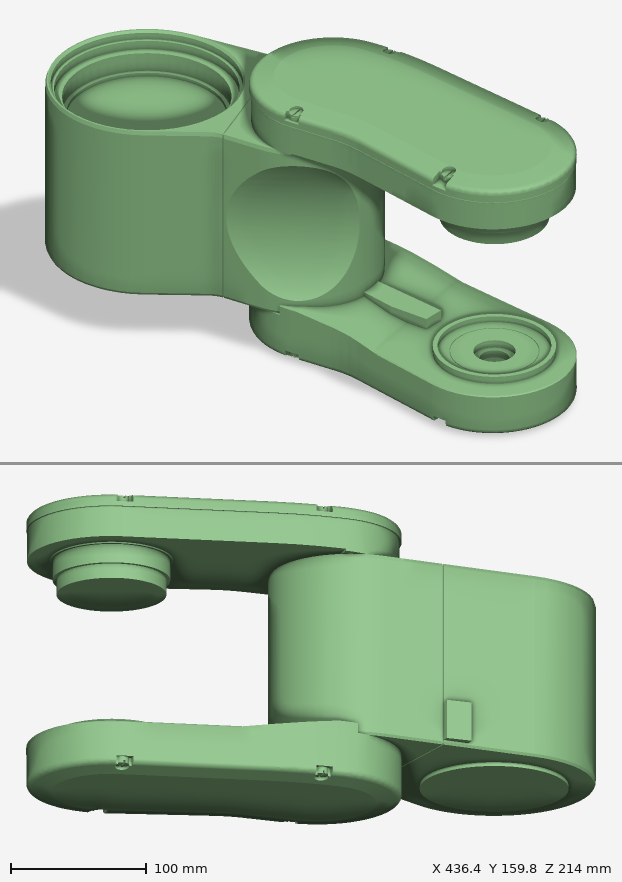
import cadquery as cq
import math

TOTAL_LENGTH = 436.44
BODY_HEIGHT = 140.0
MID_Z = BODY_HEIGHT / 2

SHOULDER_R = 75.0
BASE_DISC_R = 55.0
BASE_DISC_H = 3.0
SHOULDER_BORES = [(71.0, 7.0), (68.5, 14.0), (62.5, 29.0), (59.5, 32.0)]
BORE_CHAMFER = 1.6

WALL_SCREW_Y = -13.3
WALL_SCREW_Z = 49.0
WALL_SCREW_POCKET_R = 6.2
WALL_SCREW_HEAD_R = 4.5
WALL_SCREW_DEPTH = 3.0
WALL_SCREW_HEAD_H = 1.5
WALL_SCREW_SLOT = 2.2

HUB_X = 120.1
HUB_Y = 22.0
HUB_R = 61.2
ELBOW_X = 83.5
ELBOW_R = 24.0
EDGE_BEVEL_WIDTH = 1.0
TOP_BEVEL_HEIGHT = 3.0
BOTTOM_BEVEL_HEIGHT = 2.0

SCOOP_R = 93.4
SCOOP_AXIS_DISTANCE = 134.6
SCOOP_ANGLE = 27.5

SEAM_REAR = (68.5, 79.2)
SEAM_FRONT = (89.0, HUB_Y - HUB_R)
SEAM_WIDTH = 1.2
SEAM_DEPTH = 0.6
TAB_LENGTH = 20.4
TAB_ROOT_Y = 70.0
TAB_Z = (3.3, 32.9)

ARM_R = 62.0
ARM_ROOT = (146.5, 22.8)
ARM_TIP = (TOTAL_LENGTH - SHOULDER_R - ARM_R, -3.5)
REAR_BEND = math.radians(11.5)
FRONT_BEND = math.radians(15.3)
REAR_BEND_R = 250.0
FRONT_BEND_R = 92.0
ARM_THICKNESS = 37.0
ARM_GAP = 1.5
UPPER_Z = BODY_HEIGHT + ARM_THICKNESS
LOWER_Z = -ARM_THICKNESS

BORDER_WIDTH = 18.5
BORDER_DROP = 3.0
RIM_FILLET = 4.1
PICK_MARGIN = 0.1
COVER_SEAM_DEPTH = 12.4
COVER_SEAM_SIZE = 0.8
COVER_OVERHANG = 0.5
ROOT_RELIEF = 1.3

SCREWS = [(163.0, 77.0, 1), (147.7, -32.0, -1), (309.8, 51.0, 1), (289.9, -50.4, -1)]
SCREW_R = 5.2
SCREW_TOP = 3.5
SCREW_SLOT = 1.4
SCREW_SLOT_DEPTH = 2.0
NOTCH_WIDTH = 12.4
NOTCH_DEPTH = 8.4
NOTCH_START = 3.0
NOTCH_LENGTH = 30.0

PIN_STEPS = [(45.5, 1.0), (43.4, 15.3), (40.6, 26.4)]
JOINT_AXIS = (ARM_TIP[0], -1.0)
RING_R = 45.5
RING_TOP_Z = 4.3
RING_RECESS_R = 42.0
RING_RECESS_Z = -0.5
RING_GROOVE_R = 33.3
RING_GROOVE = 0.6
RING_BORES = [(15.6, 6.0), (11.0, 12.0)]

RAMP_TOP_Z = 7.6
RAMP_START_X = 137.0
RAMP_CREST_X = 152.0
RAMP_END_X = 222.0
TIP_BEVEL = 0.8
STOP_POINTS = [(165, 33), (242.3, 17.5), (239.7, 1.1), (207.5, 3.5), (165, 15)]


def cylinder(x, y, z, radius, height):
    return cq.Workplane("XY", origin=(x, y, z)).circle(radius).extrude(height)


def polar(centre, radius, angle):
    return (centre[0] + radius * math.cos(angle), centre[1] + radius * math.sin(angle))


def bend_centre(tangent_angle, y, distance):
    """Centre at height y that lies `distance` from the arm tip along a side's normal."""
    along_normal = ARM_TIP[0] * math.cos(tangent_angle) + ARM_TIP[1] * math.sin(tangent_angle) + distance
    return ((along_normal - y * math.sin(tangent_angle)) / math.cos(tangent_angle), y)


def arm_profile(inset, z):
    """Bent outline: two end arcs joined by a convex rear bend and a concave front bend."""
    up = math.pi / 2
    rear_normal = up - REAR_BEND
    front_normal = -up - FRONT_BEND
    radius = ARM_R - inset
    rear_r = REAR_BEND_R - inset
    front_r = FRONT_BEND_R + inset
    rear = bend_centre(rear_normal, ARM_ROOT[1] + radius - rear_r, radius - rear_r)
    front = bend_centre(front_normal, ARM_ROOT[1] - radius - front_r, radius + front_r)
    tip_middle = (rear_normal + front_normal) / 2
    return (
        cq.Workplane("XY", origin=(0, 0, z))
        .moveTo(*polar(ARM_ROOT, radius, up))
        .lineTo(*polar(rear, rear_r, up))
        .threePointArc(polar(rear, rear_r, up - REAR_BEND / 2), polar(rear, rear_r, rear_normal))
        .lineTo(*polar(ARM_TIP, radius, rear_normal))
        .threePointArc(polar(ARM_TIP, radius, tip_middle), polar(ARM_TIP, radius, front_normal))
        .lineTo(*polar(front, front_r, front_normal + math.pi))
        .threePointArc(polar(front, front_r, up - FRONT_BEND / 2), polar(front, front_r, up))
        .lineTo(*polar(ARM_ROOT, radius, -up))
        .threePointArc(polar(ARM_ROOT, radius, math.pi), polar(ARM_ROOT, radius, up))
        .close()
    )


def body_profile(inset, z):
    """Shoulder circle and hub circle joined by a rear tangent and a front elbow."""
    shoulder_r = SHOULDER_R - inset
    hub_r = HUB_R - inset
    hub = (HUB_X, HUB_Y)
    rear = math.atan2(HUB_Y, HUB_X) + math.acos((shoulder_r - hub_r) / math.hypot(HUB_X, HUB_Y))
    hub_front_y = HUB_Y - hub_r
    elbow = (ELBOW_X, hub_front_y)
    front = math.atan2(elbow[1], elbow[0]) - math.acos(shoulder_r / math.hypot(*elbow))
    rise = front + math.pi / 2
    fillet_r = ELBOW_R + inset
    setback = fillet_r * math.tan(rise / 2)
    fillet = (ELBOW_X + setback, hub_front_y - fillet_r)
    up = math.pi / 2
    return (
        cq.Workplane("XY", origin=(0, 0, z))
        .moveTo(*polar((0, 0), shoulder_r, rear))
        .lineTo(*polar(hub, hub_r, rear))
        .threePointArc(polar(hub, hub_r, 0), polar(hub, hub_r, -up))
        .lineTo(*polar(fillet, fillet_r, up))
        .threePointArc(polar(fillet, fillet_r, up + rise / 2), polar(fillet, fillet_r, up + rise))
        .lineTo(*polar((0, 0), shoulder_r, front))
        .threePointArc(polar((0, 0), shoulder_r, math.pi), polar((0, 0), shoulder_r, rear))
        .close()
    )


def seam_groove():
    run = (SEAM_FRONT[0] - SEAM_REAR[0], SEAM_FRONT[1] - SEAM_REAR[1])
    middle = ((SEAM_FRONT[0] + SEAM_REAR[0]) / 2, (SEAM_FRONT[1] + SEAM_REAR[1]) / 2)
    slab = (
        cq.Workplane("XY")
        .transformed(offset=(*middle, MID_Z), rotate=(0, 0, math.degrees(math.atan2(run[1], run[0]))))
        .box(2 * math.hypot(*run), SEAM_WIDTH, 2 * BODY_HEIGHT)
    )
    core = body_profile(EDGE_BEVEL_WIDTH, SEAM_DEPTH).extrude(BODY_HEIGHT - 2 * SEAM_DEPTH)
    return slab.cut(core)


def scoop():
    angle = math.radians(SCOOP_ANGLE)
    centre = (
        HUB_X + SCOOP_AXIS_DISTANCE * math.sin(angle),
        HUB_Y - SCOOP_AXIS_DISTANCE * math.cos(angle),
        MID_Z,
    )
    along = cq.Vector(math.cos(angle), math.sin(angle), 0)
    length = 4 * HUB_R
    start = cq.Vector(*centre) - along * (length / 2)
    return cq.Workplane(cq.Solid.makeCylinder(SCOOP_R, length, start, along))


def shoulder_bores():
    bores = cylinder(0, 0, BODY_HEIGHT - SHOULDER_BORES[0][1], *SHOULDER_BORES[0])
    for radius, depth in SHOULDER_BORES[1:]:
        bores = bores.union(cylinder(0, 0, BODY_HEIGHT - depth, radius, depth))
    mouth_r = SHOULDER_BORES[0][0]
    mouth = cq.Solid.makeCone(
        mouth_r, mouth_r + BORE_CHAMFER, BORE_CHAMFER, cq.Vector(0, 0, BODY_HEIGHT - BORE_CHAMFER)
    )
    return bores.union(cq.Workplane(mouth))


def add_wall_screw(body):
    surface_x = -math.sqrt(SHOULDER_R**2 - WALL_SCREW_Y**2)
    floor = cq.Workplane("YZ", origin=(surface_x + WALL_SCREW_DEPTH, WALL_SCREW_Y, WALL_SCREW_Z))
    pocket = floor.circle(WALL_SCREW_POCKET_R).extrude(-2 * WALL_SCREW_DEPTH)
    head = floor.circle(WALL_SCREW_HEAD_R).extrude(-WALL_SCREW_HEAD_H)
    slot = floor.rect(2 * WALL_SCREW_HEAD_R, WALL_SCREW_SLOT).extrude(-WALL_SCREW_HEAD_H)
    return body.cut(pocket).union(head.cut(slot))


def seam_tab():
    bottom, top = TAB_Z
    rear_y = ARM_ROOT[1] + ARM_R
    return (
        cq.Workplane("XY", origin=(0, 0, bottom))
        .moveTo(SEAM_REAR[0] - TAB_LENGTH, TAB_ROOT_Y)
        .lineTo(SEAM_REAR[0] - TAB_LENGTH, rear_y)
        .lineTo(SEAM_REAR[0] - SEAM_WIDTH, rear_y)
        .lineTo(SEAM_REAR[0], SEAM_REAR[1])
        .lineTo(SEAM_REAR[0], TAB_ROOT_Y)
        .close()
        .extrude(top - bottom)
    )


def central_body():
    body = body_profile(0, 0).extrude(BODY_HEIGHT)
    body = body.faces(">Z").chamfer(TOP_BEVEL_HEIGHT, EDGE_BEVEL_WIDTH)
    body = body.faces("<Z").chamfer(BOTTOM_BEVEL_HEIGHT, EDGE_BEVEL_WIDTH)
    body = body.cut(scoop()).cut(seam_groove()).cut(shoulder_bores())
    body = add_wall_screw(body)
    return body.union(seam_tab()).union(cylinder(0, 0, -BASE_DISC_H, BASE_DISC_R, 2 * BASE_DISC_H))


def add_cover_screw(arm, x, y, side):
    """Screw head sunk in the border, open to the rim through a square notch."""
    face = cq.Workplane("XY", origin=(x, y, 0))
    notch_y = side * (NOTCH_START + NOTCH_LENGTH / 2)
    notch = face.center(0, notch_y).rect(NOTCH_WIDTH, NOTCH_LENGTH).extrude(-NOTCH_DEPTH)
    hole = face.circle(SCREW_R).extrude(-NOTCH_DEPTH)
    slot_z = SCREW_TOP + SCREW_SLOT_DEPTH
    slot = cq.Workplane("XY", origin=(x, y, -slot_z)).rect(SCREW_SLOT, 2 * SCREW_R).extrude(slot_z)
    head = cylinder(x, y, -NOTCH_DEPTH, SCREW_R, NOTCH_DEPTH - SCREW_TOP).cut(slot)
    return arm.cut(notch).cut(hole).union(head)


def arm_blank(thickness):
    """Arm with its outer face at Z = 0: sloping border, rounded rim and four screws."""
    arm = arm_profile(0, -thickness).extrude(thickness)
    arm = arm.faces(">Z").chamfer(BORDER_DROP, BORDER_WIDTH)
    rim = cq.selectors.BoxSelector(
        (-TOTAL_LENGTH, -TOTAL_LENGTH, -BORDER_DROP - PICK_MARGIN),
        (TOTAL_LENGTH, TOTAL_LENGTH, -BORDER_DROP + PICK_MARGIN),
        boundingbox=True,
    )
    arm = arm.edges(rim).fillet(RIM_FILLET)
    for x, y, side in SCREWS:
        arm = add_cover_screw(arm, x, y, side)
    return arm


def side_prism(points):
    """Prism with an X-Z outline that spans the whole part in Y."""
    plane = cq.Workplane("XZ", origin=(0, TOTAL_LENGTH, 0))
    return plane.polyline(points).close().extrude(2 * TOTAL_LENGTH)


def cover_seam():
    z = UPPER_Z - COVER_SEAM_DEPTH - COVER_SEAM_SIZE / 2
    ring = arm_profile(0, z).extrude(COVER_SEAM_SIZE)
    return ring.cut(arm_profile(COVER_SEAM_SIZE + COVER_OVERHANG, z).extrude(COVER_SEAM_SIZE))


def side_setback():
    """Thin layer taken off the side wall of the upper arm below its cover seam."""
    height = ARM_THICKNESS - COVER_SEAM_DEPTH
    layer = arm_profile(0, BODY_HEIGHT).extrude(height)
    core = arm_profile(COVER_OVERHANG, BODY_HEIGHT).extrude(height)
    root = cq.Workplane("XY", origin=(*ARM_ROOT, BODY_HEIGHT))
    root_box = root.center(-ARM_R, 0).rect(2 * ARM_R, 3 * ARM_R).extrude(height)
    root_r = ARM_R - COVER_OVERHANG
    oval = root.ellipse(root_r - ROOT_RELIEF, root_r).extrude(height)
    return layer.cut(core.cut(root_box.cut(oval)))


def upper_arm():
    arm = arm_blank(ARM_THICKNESS).translate((0, 0, UPPER_Z))
    underside = BODY_HEIGHT + ARM_GAP
    gap = side_prism([
        (ARM_ROOT[0], BODY_HEIGHT),
        (ARM_ROOT[0], underside),
        (TOTAL_LENGTH, underside),
        (TOTAL_LENGTH, BODY_HEIGHT),
    ])
    arm = arm.cut(gap).cut(side_setback()).cut(cover_seam())
    for radius, depth in PIN_STEPS:
        arm = arm.union(cylinder(*JOINT_AXIS, underside - depth, radius, depth))
    return arm


def above_lower_arm():
    """Space over the inner face: step up to the raised root, then a ramp down to the tip."""
    return side_prism([
        (0, 0),
        (RAMP_START_X, 0),
        (RAMP_START_X, RAMP_TOP_Z),
        (RAMP_CREST_X, RAMP_TOP_Z),
        (RAMP_END_X, -ARM_GAP),
        (TOTAL_LENGTH, -ARM_GAP),
        (TOTAL_LENGTH, 2 * RAMP_TOP_Z),
        (0, 2 * RAMP_TOP_Z),
    ])


def add_tip_ring(arm):
    arm = arm.union(cylinder(*JOINT_AXIS, -ARM_GAP, RING_R, ARM_GAP + RING_TOP_Z))
    arm = arm.cut(cylinder(*JOINT_AXIS, RING_RECESS_Z, RING_RECESS_R, RING_TOP_Z - RING_RECESS_Z))
    groove_z = RING_RECESS_Z - RING_GROOVE
    groove = cylinder(*JOINT_AXIS, groove_z, RING_GROOVE_R, RING_GROOVE)
    groove = groove.cut(cylinder(*JOINT_AXIS, groove_z, RING_GROOVE_R - RING_GROOVE, RING_GROOVE))
    arm = arm.cut(groove)
    for radius, depth in RING_BORES:
        arm = arm.cut(cylinder(*JOINT_AXIS, RING_RECESS_Z - depth, radius, depth))
    return arm


def lower_arm():
    arm = arm_blank(ARM_THICKNESS + RAMP_TOP_Z).mirror("XY").translate((0, 0, LOWER_Z))
    stop = cq.Workplane("XY", origin=(0, 0, -ARM_GAP)).polyline(STOP_POINTS).close()
    arm = arm.cut(above_lower_arm())
    tip_edge = cq.selectors.NearestToPointSelector((ARM_TIP[0] + ARM_R, ARM_TIP[1], -ARM_GAP))
    arm = arm.edges(tip_edge).chamfer(TIP_BEVEL)
    arm = arm.union(stop.extrude(ARM_GAP + RAMP_TOP_Z))
    return add_tip_ring(arm)


result = central_body().union(upper_arm()).union(lower_arm())